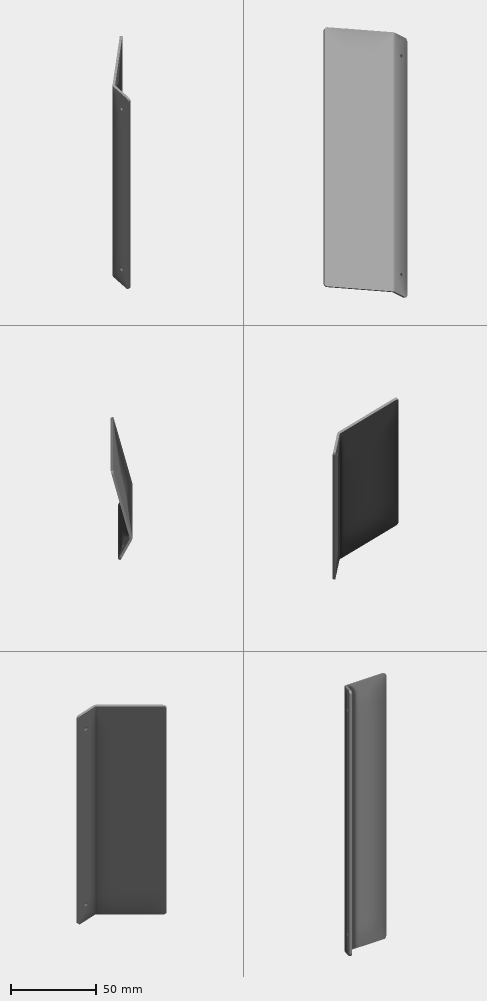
import cadquery as cq
import math

height = 160.0
overall_width = 45.0
overall_depth = 31.0
thickness = 1.5
bend_angle = 45.0
inner_bend_radius = 1.5
corner_radius = 2.0
hole_diameter = 2.4
hole_spacing = 135.0
hole_edge_distance = 6.5

angle = math.radians(bend_angle)
along_x, along_y = -math.cos(angle), math.sin(angle)
normal_x, normal_y = math.sin(angle), math.cos(angle)

wing_length = (overall_depth - thickness * normal_y) / along_y
flange_length = overall_width + wing_length * along_x
inner_corner_offset = thickness * math.tan(angle / 2)


def bent_sheet():
    """Extrude the bent strip, with its sharp outer corner on the Z axis, then round the bend."""
    tip_x = wing_length * along_x
    tip_y = wing_length * along_y
    sheet = (
        cq.Workplane("XY")
        .moveTo(0, 0)
        .lineTo(flange_length, 0)
        .lineTo(flange_length, thickness)
        .lineTo(inner_corner_offset, thickness)
        .lineTo(tip_x + thickness * normal_x, tip_y + thickness * normal_y)
        .lineTo(tip_x, tip_y)
        .close()
        .extrude(height)
    )
    middle = height / 2
    inner_edge = cq.selectors.NearestToPointSelector((inner_corner_offset, thickness, middle))
    outer_edge = cq.selectors.NearestToPointSelector((0, 0, middle))
    sheet = sheet.edges(inner_edge).fillet(inner_bend_radius)
    return sheet.edges(outer_edge).fillet(inner_bend_radius + thickness)


def round_free_corners(sheet):
    """Round the two flange corners and the two wing corners in the plane of the sheet."""
    sheet = sheet.faces(">X").edges("|Y").fillet(corner_radius)
    return sheet.faces("<X").edges("not |Z").fillet(corner_radius)


def mounting_holes():
    """Cutters for the two holes through the flange, centred along its height."""
    hole_x = flange_length - hole_edge_distance
    cutters = cq.Workplane("XZ", origin=(hole_x, thickness, height / 2))
    for side in (-1, 1):
        cutters = cutters.moveTo(0, side * hole_spacing / 2).circle(hole_diameter / 2)
    return cutters.extrude(thickness)


result = round_free_corners(bent_sheet()).cut(mounting_holes())